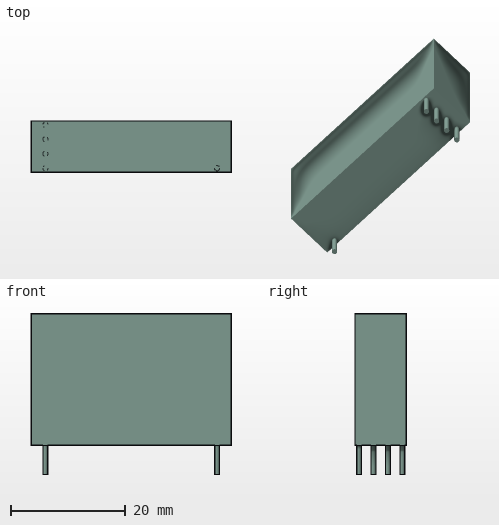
import cadquery as cq

housing_length = 35.0
housing_width = 9.0
total_height = 28.1

pin_diameter = 0.9
pin_length = 5.1
pin_pitch = 2.52
left_pin_count = 4
row_spacing = 30.0

housing_height = total_height - pin_length


def make_housing():
    """Plain rectangular block standing on the plane Z = 0."""
    return cq.Workplane("XY").box(
        housing_length, housing_width, housing_height, centered=(True, True, False)
    )


def make_pin(x, y):
    """Straight pin whose upper end touches the underside of the housing."""
    return cq.Workplane("XY").center(x, y).circle(pin_diameter / 2).extrude(-pin_length)


left_x = -row_spacing / 2
right_x = row_spacing / 2
front_y = -pin_pitch * (left_pin_count - 1) / 2

pin_places = [(left_x, front_y + i * pin_pitch) for i in range(left_pin_count)]
pin_places.append((right_x, front_y))

housing = make_housing()
pins = [make_pin(x, y) for x, y in pin_places]

result = cq.Compound.makeCompound([housing.val(), *[pin.val() for pin in pins]])